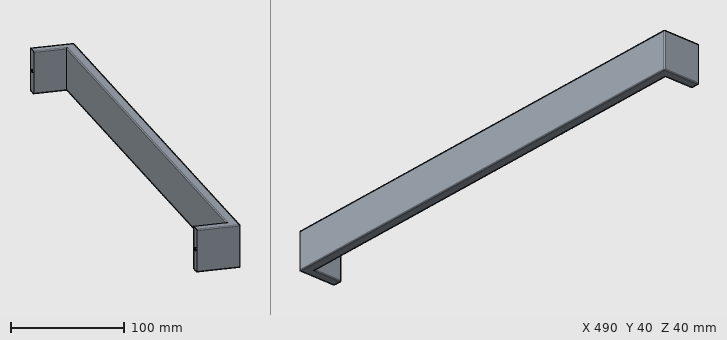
import cadquery as cq

length = 490.0
depth = 40.0
height = 40.0
thickness = 10.0
hole_diameter = 3.0
hole_depth = 19.5
edge_radius = 1.0

leg_end_y = -depth / 2
leg_center_x = (length - thickness) / 2


def make_handle_body():
    """U-shaped handle: a flat bar with a square leg at each end."""
    block = cq.Workplane("XY").box(length, depth, height)
    gap = (
        cq.Workplane("XY")
        .box(length - 2 * thickness, depth - thickness, height)
        .translate((0, -thickness / 2, 0))
    )
    return block.cut(gap)


def round_edges(body):
    """Soften the long edges and outer corners; the leg end faces meet the sides sharply."""
    long_edges = body.faces("<Z or >Z").edges("not <Y")
    outer_corners = body.faces(">Y").edges("|Z")
    return body.newObject(long_edges.vals() + outer_corners.vals()).fillet(edge_radius)


def make_screw_hole(center_x):
    """Blind hole running from a leg's end face toward +Y."""
    return (
        cq.Workplane("XZ", origin=(center_x, leg_end_y, 0))
        .circle(hole_diameter / 2)
        .extrude(-hole_depth)
    )


result = round_edges(make_handle_body())
for side in (-1, 1):
    result = result.cut(make_screw_hole(side * leg_center_x))